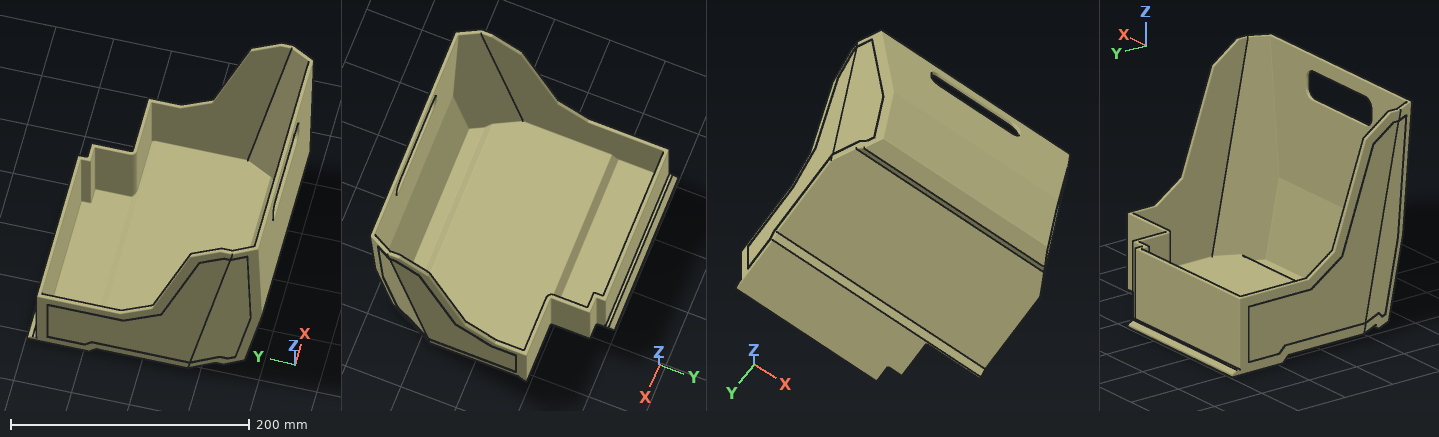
import cadquery as cq

WIDTH = 215.0
DEPTH = 198.0
HEIGHT = 200.0

WALL = 4.0
EDGE_ROUND = 1.0

FRONT_FOOT_Y = 15.0
CREASE_Z = 75.0
FRONT_LEAN = FRONT_FOOT_Y / CREASE_Z

RIM_TOP_Y = 30.5
RIM_SHOULDER_Y = 57.0
RIM_SHOULDER_Z = 181.7
RIM_ELBOW_Y = 89.9
RIM_ELBOW_Z = 88.4
RIM_LOW_Y = 117.4
RIM_LOW_Z = 69.9
RIM_BENDS = [
    (RIM_TOP_Y, HEIGHT),
    (RIM_SHOULDER_Y, RIM_SHOULDER_Z),
    (RIM_ELBOW_Y, RIM_ELBOW_Z),
    (RIM_LOW_Y, RIM_LOW_Z),
]

BELLY_Z = 6.0
FRONT_RAMP_Y = 32.0
BACK_RAMP_Y = 143.8

BACK_Y = 190.0
FIRST_STEP_X = 145.5
FIRST_STEP_Y = 181.7
SECOND_STEP_X = 160.0
SECOND_STEP_Y = 146.2

FACET_BASE_Y = 60.0
FACET_SLOPE = 0.51

LIP_Z = 6.0
LIP_TIP_Z = 3.2
LIP_RAMP = 5.2

PANEL_MARGIN = 9.9
PANEL_FRONT_MARGIN = 8.8
PANEL_DEPTH = 0.5

GRIP_LENGTH = 90.3
GRIP_HEIGHT = 25.4
GRIP_TOP_GAP = 14.8
GRIP_CORNER = 9.0

OVERSHOOT = 21.5
TOLERANCE = 0.02


def near(first, second):
    """Whether two numbers mark the same place."""
    return abs(first - second) < TOLERANCE


def moved_inward(outline, inset):
    """Closed outline moved inward by inset, its corners kept sharp."""
    if inset:
        return outline.offset2D(-inset, "intersection")
    return outline


def side_prism(rim, inset=0, front_y=0):
    """Prism along X with the side outline of the bin under the given rim points."""
    outline = cq.Workplane("YZ").polyline(
        [(front_y + FRONT_FOOT_Y, 0), (front_y, CREASE_Z), (front_y, rim[0][1])]
        + rim
        + [
            (BACK_Y, rim[-1][1]),
            (BACK_Y, 0),
            (BACK_RAMP_Y, 0),
            (BACK_RAMP_Y - BELLY_Z, BELLY_Z),
            (FRONT_RAMP_Y + BELLY_Z, BELLY_Z),
            (FRONT_RAMP_Y, 0),
        ]
    ).close()
    return moved_inward(outline, inset).extrude(WIDTH)


def faceted_block(inset):
    """Block bounded by the sides and the facets, sheared to follow the front lean."""
    facet_x = FACET_BASE_Y * FACET_SLOPE
    far_y = 2 * DEPTH
    rise = HEIGHT + OVERSHOOT
    plan = cq.Workplane("XY").polyline([
        (0, far_y),
        (0, FACET_BASE_Y),
        (facet_x, 0),
        (WIDTH - facet_x, 0),
        (WIDTH, FACET_BASE_Y),
        (WIDTH, far_y),
    ]).close()
    wire = moved_inward(plan, inset).val()
    return cq.Workplane(cq.Solid.extrudeLinear(wire, [], cq.Vector(0, -FRONT_LEAN * rise, rise)))


def stepped_block(inset):
    """Upright block with the stepped back wall outline."""
    plan = cq.Workplane("XY").polyline([
        (0, -OVERSHOOT),
        (0, BACK_Y),
        (FIRST_STEP_X, BACK_Y),
        (FIRST_STEP_X, FIRST_STEP_Y),
        (SECOND_STEP_X, FIRST_STEP_Y),
        (SECOND_STEP_X, SECOND_STEP_Y),
        (WIDTH, SECOND_STEP_Y),
        (WIDTH, -OVERSHOOT),
    ]).close()
    return moved_inward(plan, inset).extrude(HEIGHT + OVERSHOOT)


def cross_edges(part, y, z):
    """Edges along X that pass through the given Y and Z."""
    return part.edges("|X").filter(
        lambda edge: near(edge.Center().y, y) and near(edge.Center().z, z)
    )


def facet_seams(part):
    """Edges where the facets meet the sides."""
    lean = cq.selectors.ParallelDirSelector(cq.Vector(0, -FRONT_LEAN, 1))
    return part.edges(lean).edges("<X or >X")


def round_all_but(part, sharp_edges, radius):
    """Round every edge of the part except the sharp ones."""
    return part.edges().filter(
        lambda edge: not any(edge.isSame(sharp) for sharp in sharp_edges)
    ).fillet(radius)


def shared_edges(part, first, second):
    """Edges of the part that lie on the skins of both other bodies."""
    skins = [first.val().Shells()[0], second.val().Shells()[0]]

    def on_both(edge):
        middle = cq.Vertex.makeVertex(*edge.positionAt(0.5).toTuple())
        return all(middle.distance(skin) < TOLERANCE for skin in skins)

    return part.edges().filter(on_both)


def make_lip():
    """Lip along the back wall, rooted inside that wall."""
    root_y = BACK_Y - WALL / 2
    return cq.Workplane("YZ").polyline([
        (root_y, 0),
        (DEPTH, 0),
        (DEPTH, LIP_TIP_Z),
        (DEPTH - LIP_RAMP, LIP_Z),
        (root_y, LIP_Z),
    ]).close().extrude(FIRST_STEP_X)


def make_outer():
    """Solid bin with its lip, with all edges rounded but the facet seams and those listed."""
    outer = side_prism(RIM_BENDS).intersect(faceted_block(0)).intersect(stepped_block(0)).union(make_lip())
    sharp = facet_seams(outer).vals()
    for y, z in [
        (0, CREASE_Z),
        (FRONT_RAMP_Y, 0),
        (FRONT_RAMP_Y + BELLY_Z, BELLY_Z),
        (BACK_RAMP_Y - BELLY_Z, BELLY_Z),
        (BACK_RAMP_Y, 0),
        (BACK_Y, LIP_Z),
        (DEPTH - LIP_RAMP, LIP_Z),
    ]:
        sharp += cross_edges(outer, y, z).vals()
    return round_all_but(outer, sharp, EDGE_ROUND)


def make_cavity():
    """Space inside the walls, open at the top."""
    open_top = HEIGHT + OVERSHOOT
    cavity = side_prism([(RIM_TOP_Y, open_top)], WALL)
    cavity = cavity.intersect(faceted_block(WALL)).intersect(stepped_block(WALL))
    corner_x = SECOND_STEP_X - WALL
    corner_y = SECOND_STEP_Y - WALL
    corner = cavity.edges("|Z").filter(
        lambda edge: near(edge.Center().x, corner_x) and near(edge.Center().y, corner_y)
    )
    cavity = corner.fillet(WALL + EDGE_ROUND)
    crease = cavity.edges("|X").edges("<Y").edges("<Z")
    sharp = facet_seams(cavity).vals() + cavity.edges(">Z").vals() + crease.vals()
    return round_all_but(cavity, sharp, EDGE_ROUND)


def make_panels():
    """Thin plates that sink the side panels, ending short of the back of each side."""
    front_y = PANEL_FRONT_MARGIN - PANEL_MARGIN
    plates = side_prism(RIM_BENDS, PANEL_MARGIN, front_y).cut(faceted_block(PANEL_DEPTH))
    short_side = cq.Workplane("XY").box(WIDTH / 2, DEPTH, HEIGHT, centered=False)
    return plates.cut(short_side.translate((WIDTH / 2, SECOND_STEP_Y - PANEL_MARGIN, 0)))


def make_grip():
    """Rounded bar that cuts the grip hole through the front wall."""
    center_z = HEIGHT - GRIP_TOP_GAP - GRIP_HEIGHT / 2
    bar = cq.Workplane("XZ").center(WIDTH / 2, center_z).rect(GRIP_LENGTH, GRIP_HEIGHT)
    return bar.extrude(OVERSHOOT, both=True).edges("|Y").fillet(GRIP_CORNER)


outer = make_outer()
cavity = make_cavity()
shell = outer.cut(cavity)
shell = shared_edges(shell, outer, cavity).fillet(EDGE_ROUND)

grip = make_grip()
gripped = shell.cut(grip)
gripped = shared_edges(gripped, shell, grip).fillet(EDGE_ROUND)

result = gripped.cut(make_panels())